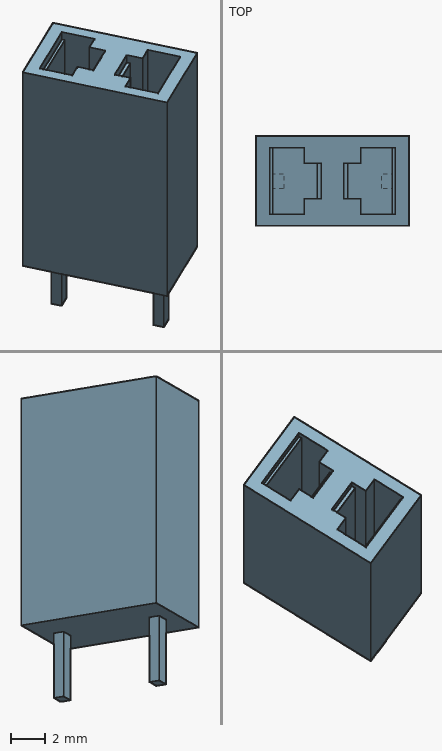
import cadquery as cq

total_height = 18.0
pin_length = 4.0
housing_width = 9.0
housing_depth = 5.3
housing_height = total_height - pin_length

pocket_outer_x = 3.69
pocket_shoulder_x = 1.65
pocket_inner_x = 0.67
pocket_depth_y = 3.89
neck_depth_y = 2.09
floor_thickness = 1.0
pocket_height = housing_height - floor_thickness

outer_plate_thickness = 0.18
inner_plate_thickness = 0.23
plate_drop = 0.54
plate_height = pocket_height - plate_drop

pin_width = 0.65
pin_depth = 0.86
pin_offset_x = 3.19

housing_bottom_z = pin_length
pocket_floor_z = housing_bottom_z + floor_thickness

SIDES = (-1, 1)


def make_block(center_x, width, depth, bottom_z, height):
    """Upright rectangular block centred on the XZ plane."""
    block = cq.Workplane("XY").box(width, depth, height, centered=(True, True, False))
    return block.translate((center_x, 0, bottom_z))


def block_between(side, inner_x, outer_x, depth, bottom_z, height):
    """Upright block between two distances from the middle, on one side."""
    center_x = side * (inner_x + outer_x) / 2
    return make_block(center_x, outer_x - inner_x, depth, bottom_z, height)


def make_pocket(side):
    """Wide chamber with a narrower neck toward the middle of the housing."""
    chamber = block_between(
        side, pocket_shoulder_x, pocket_outer_x, pocket_depth_y, pocket_floor_z, pocket_height
    )
    neck = block_between(
        side, pocket_inner_x, pocket_shoulder_x, neck_depth_y, pocket_floor_z, pocket_height
    )
    return chamber.union(neck)


def make_housing():
    """Rectangular block with two mirrored blind pockets open at the top."""
    housing = make_block(0, housing_width, housing_depth, housing_bottom_z, housing_height)
    for side in SIDES:
        housing = housing.cut(make_pocket(side))
    return housing


def make_outer_plate(side):
    """Plate against the outer wall of a pocket, as wide as the chamber."""
    inner_face_x = pocket_outer_x - outer_plate_thickness
    return block_between(
        side, inner_face_x, pocket_outer_x, pocket_depth_y, pocket_floor_z, plate_height
    )


def make_inner_plate(side):
    """Plate against the inner wall of a pocket, as wide as the neck."""
    outer_face_x = pocket_inner_x + inner_plate_thickness
    return block_between(
        side, pocket_inner_x, outer_face_x, neck_depth_y, pocket_floor_z, plate_height
    )


def make_pin(side):
    """Rectangular pin meeting the underside of the housing."""
    return make_block(side * pin_offset_x, pin_width, pin_depth, 0, pin_length)


housing = make_housing()
outer_plates = [make_outer_plate(side).val() for side in SIDES]
inner_plates = [make_inner_plate(side).val() for side in SIDES]
pins = [make_pin(side).val() for side in SIDES]

result = cq.Compound.makeCompound([housing.val(), *outer_plates, *inner_plates, *pins])